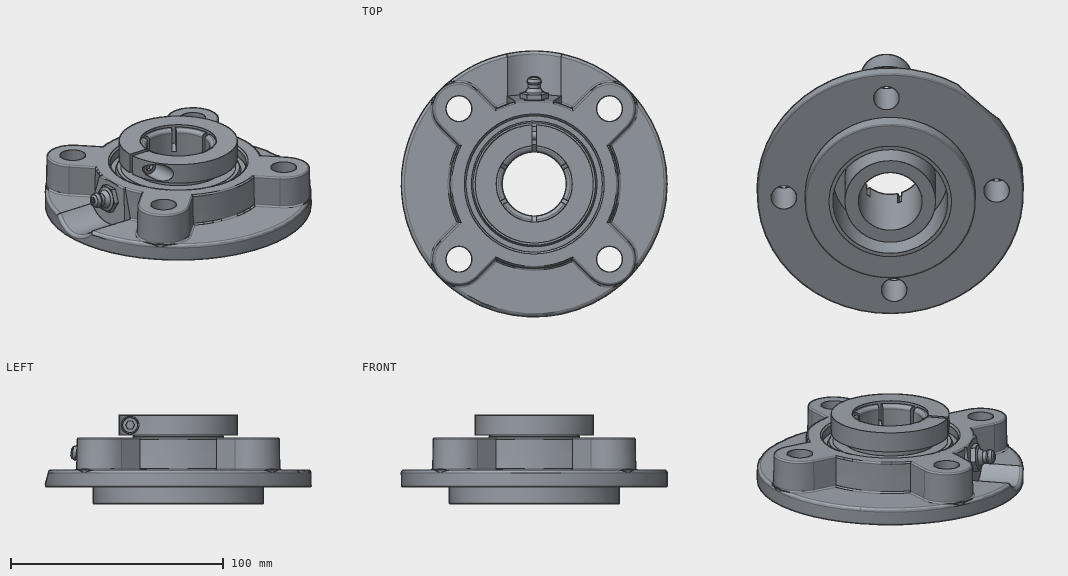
import cadquery as cq
import math

FLANGE_DIA = 125.0
FLANGE_BOTTOM_Z = 8.0
FLANGE_TOP_Z = 16.0
FLANGE_RIM_FILLET = 1.5
SPIGOT_DIA = 80.0
LOWER_EDGE_FILLET = 0.5

BOSS_TOP_Z = 31.0
BOSS_ROOT_Z = 14.2
BOSS_DRAFT = 1.2
BOSS_CORE_RADIUS = 39.5
BOSS_EDGE_FILLET = 0.8
LUG_ANGLES = (45, 135, 225, 315)
LUG_RADIUS = 12.1
BOLT_CIRCLE_RADIUS = 50.0
BOLT_HOLE_DIA = 12.0

TROUGH_RADIUS = 17.8
TROUGH_AXIS_Z = 28.5
FACE_TOP_Y = 39.1
FACE_SLOPE = 8.0
PAD_TOP_WIDTH = 18.8
PAD_FOOT_WIDTH = 25.5

SEAT_SPHERE_DIA = 64.0
OUTER_RING_TOP_Z = 28.0
SEAT_CENTRE_Z = OUTER_RING_TOP_Z / 2
COUNTERBORE_FLOOR_Z = 26.4
COUNTERBORE_CHAMFER = 0.9
OUTER_RING_BORE_DIA = 54.0

SHAFT_BORE_DIA = 30.0
BORE_MOUTH_FILLET = 1.9
SHOULDER_DIA = 42.5
SHOULDER_CHAMFER = 0.6
SLEEVE_DIA = 35.8
SLEEVE_TOP_Z = 40.5

SLOT_COUNT = 6
SLOT_WIDTH = 2.0
SLOT_INNER_Z = 29.2
SLOT_END_RADIUS = 18.5

SEAL_TOP_Z = OUTER_RING_TOP_Z
SEAL_THICKNESS = 2.0

COLLAR_DIA = 55.5
COLLAR_BOTTOM_Z = 32.2
COLLAR_TOP_Z = 41.8
SCREW_Y = 22.6
SCREW_Z = (COLLAR_BOTTOM_Z + COLLAR_TOP_Z) / 2
SCREW_SHANK_DIA = 4.0
SCREW_HEAD_DIA = 7.0
SCREW_HEAD_X = -7.8
SCREW_SEAT_X = -3.8
SCREW_TIP_X = 11.2
SCREW_SOCKET_ACROSS_CORNERS = 4.2
SCREW_SOCKET_DEPTH = 2.0
SCREW_COUNTERBORE_DIA = 8.2

NIPPLE_SEAT_Z = 22.9
NIPPLE_SEAT_Y = FACE_TOP_Y + (BOSS_TOP_Z - NIPPLE_SEAT_Z) * math.tan(math.radians(FACE_SLOPE))
NIPPLE_STEM_DIA = 6.0
NIPPLE_STEM_LENGTH = 5.0
NIPPLE_HEX_ACROSS_FLATS = 11.5
NIPPLE_HEX_HEIGHT = 2.4
NIPPLE_CONE_DIA = 8.8
NIPPLE_CONE_FOOT = 3.0
NIPPLE_CONE_TOP = 5.0
NIPPLE_NECK_DIA = 5.8
NIPPLE_NECK_TOP = 6.8
NIPPLE_HEAD_DIA = 7.0
NIPPLE_HEAD_WIDEST = 7.8
NIPPLE_TIP_SHOULDER_DIA = 5.8
NIPPLE_TIP_SHOULDER = 9.4
NIPPLE_TIP_DIA = 3.2
NIPPLE_TIP = 10.1
NIPPLE_PORT_DIA = 1.5
NIPPLE_PORT_DEPTH = 1.2


def cylinder(diameter, bottom_z, top_z):
    """Upright cylinder on the Z axis."""
    return cq.Workplane("XY").workplane(offset=bottom_z).circle(diameter / 2).extrude(top_z - bottom_z)


def cylinder_along_x(diameter, start_x, end_x, y, z):
    return cq.Workplane("YZ", origin=(start_x, y, z)).circle(diameter / 2).extrude(end_x - start_x)


def cylinder_along_y(diameter, start_y, end_y, z=0):
    return cq.Workplane("XZ", origin=(0, start_y, z)).circle(diameter / 2).extrude(start_y - end_y)


def in_front_of_face():
    """All the space ahead of the slanted face, as wide as the trough cylinder."""
    face_foot_y = FACE_TOP_Y + BOSS_TOP_Z * math.tan(math.radians(FACE_SLOPE))
    return (
        cq.Workplane("YZ", origin=(-TROUGH_RADIUS, 0, 0))
        .polyline([(FACE_TOP_Y, BOSS_TOP_Z), (FLANGE_DIA, BOSS_TOP_Z), (FLANGE_DIA, 0), (face_foot_y, 0)])
        .close()
        .extrude(2 * TROUGH_RADIUS)
    )


def nipple_recess():
    """Round-bottomed trough along Y, ending at the slanted face behind the nipple."""
    trough = cylinder_along_y(2 * TROUGH_RADIUS, 0, FLANGE_DIA, TROUGH_AXIS_Z)
    return trough.intersect(in_front_of_face())


def nipple_pad():
    """Pad on the boss core that narrows upwards and carries the slanted face."""
    return (
        cq.Workplane("XZ")
        .polyline([
            (-PAD_FOOT_WIDTH / 2, FLANGE_TOP_Z),
            (PAD_FOOT_WIDTH / 2, FLANGE_TOP_Z),
            (PAD_TOP_WIDTH / 2, BOSS_TOP_Z),
            (-PAD_TOP_WIDTH / 2, BOSS_TOP_Z),
        ])
        .close()
        .extrude(-BOLT_CIRCLE_RADIUS)
        .cut(in_front_of_face())
        .faces(">Z")
        .edges("not <Y")
        .fillet(BOSS_EDGE_FILLET)
    )


def on_slanted_face(shape):
    """Move a shape built along +Y from the origin to the nipple seat, square to its face."""
    tilted = shape.rotate((0, 0, 0), (1, 0, 0), FACE_SLOPE)
    return tilted.translate((0, NIPPLE_SEAT_Y, NIPPLE_SEAT_Z))


def nipple_stem():
    """Shank of the nipple, which also shapes its hole in the housing."""
    return on_slanted_face(cylinder_along_y(NIPPLE_STEM_DIA, -NIPPLE_STEM_LENGTH, 0))


def flange():
    """Flange disc with its rim rounded, the rounding following the trough."""
    disc = cylinder(FLANGE_DIA, FLANGE_BOTTOM_Z, FLANGE_TOP_Z).cut(nipple_recess())
    rim_arcs = disc.faces(">Z").edges("%CIRCLE")
    rim_in_trough = disc.edges("%BSPLINE")
    disc = rim_arcs.add(rim_in_trough).fillet(FLANGE_RIM_FILLET)
    return disc.faces("<Z").edges().fillet(LOWER_EDGE_FILLET)


def drafted_disc(top_radius):
    """Disc on the Z axis that widens downwards from the boss top to the boss root."""
    return (
        cq.Workplane("XY")
        .workplane(offset=BOSS_TOP_Z)
        .circle(top_radius)
        .extrude(BOSS_ROOT_Z - BOSS_TOP_Z, taper=-BOSS_DRAFT)
    )


def lug(angle):
    """Round-ended arm from the axis out to one bolt hole."""
    arm = (
        cq.Workplane("XY")
        .workplane(offset=BOSS_TOP_Z)
        .center(BOLT_CIRCLE_RADIUS / 2, 0)
        .slot2D(BOLT_CIRCLE_RADIUS + 2 * LUG_RADIUS, 2 * LUG_RADIUS)
        .extrude(BOSS_ROOT_Z - BOSS_TOP_Z, taper=-BOSS_DRAFT)
    )
    return arm.rotate((0, 0, 0), (0, 0, 1), angle)


def boss():
    """Core and four lugs, with a rounded top edge and a flared foot on the flange."""
    body = drafted_disc(BOSS_CORE_RADIUS)
    for angle in LUG_ANGLES:
        body = body.union(lug(angle))
    body = body.faces(">Z").edges().fillet(BOSS_EDGE_FILLET)
    plate = cylinder(2 * FLANGE_DIA, BOSS_ROOT_Z, FLANGE_TOP_Z)
    flared = plate.union(body)
    foot_zone = cq.selectors.BoxSelector(
        (-FLANGE_DIA / 2 - LUG_RADIUS, -FLANGE_DIA / 2 - LUG_RADIUS, FLANGE_TOP_Z - BOSS_EDGE_FILLET),
        (FLANGE_DIA / 2 + LUG_RADIUS, FLANGE_DIA / 2 + LUG_RADIUS, FLANGE_TOP_Z + BOSS_EDGE_FILLET),
        boundingbox=True,
    )
    flared = flared.edges(foot_zone).fillet(BOSS_EDGE_FILLET)
    flared = flared.cut(plate)
    return flared.union(body).intersect(cylinder(FLANGE_DIA, 0, BOSS_TOP_Z))


def bolt_holes():
    """Through holes, one in each lug."""
    hole = cylinder(BOLT_HOLE_DIA, 0, BOSS_TOP_Z).translate((BOLT_CIRCLE_RADIUS, 0, 0))
    holes = cq.Workplane("XY")
    for angle in LUG_ANGLES:
        holes = holes.add(hole.rotate((0, 0, 0), (0, 0, 1), angle))
    return holes.combine()


def outer_ring_ball():
    """Sphere shared by the housing seat and the outside of the outer ring."""
    return cq.Workplane("XY").sphere(SEAT_SPHERE_DIA / 2).translate((0, 0, SEAT_CENTRE_Z))


def bearing_seat():
    """Spherical seat below a counterbore with a chamfered mouth."""
    counterbore = cylinder(SEAT_SPHERE_DIA, COUNTERBORE_FLOOR_Z, BOSS_TOP_Z)
    mouth = (
        cq.Workplane("XY")
        .workplane(offset=BOSS_TOP_Z)
        .circle(SEAT_SPHERE_DIA / 2 + COUNTERBORE_CHAMFER)
        .extrude(-COUNTERBORE_CHAMFER, taper=45)
    )
    return outer_ring_ball().union(counterbore).union(mouth)


def make_housing():
    spigot = cylinder(SPIGOT_DIA, 0, FLANGE_TOP_Z).faces("<Z").edges().fillet(LOWER_EDGE_FILLET)
    body = flange().union(spigot).union(boss().cut(nipple_recess())).union(nipple_pad())
    return body.cut(bolt_holes()).cut(bearing_seat()).cut(nipple_stem())


def make_outer_ring():
    ring = outer_ring_ball().intersect(cylinder(FLANGE_DIA, 0, OUTER_RING_TOP_Z))
    return ring.cut(cylinder(OUTER_RING_BORE_DIA, 0, OUTER_RING_TOP_Z))


def make_seal():
    bottom_z = SEAL_TOP_Z - SEAL_THICKNESS
    return cylinder(OUTER_RING_BORE_DIA, bottom_z, SEAL_TOP_Z).cut(
        cylinder(SHOULDER_DIA, bottom_z, SEAL_TOP_Z))


def sleeve_slot(angle):
    """Radial slot through the sleeve, its floor sloping up from the bore to the shoulder top."""
    slot = (
        cq.Workplane("XZ", origin=(0, SLOT_WIDTH / 2, 0))
        .moveTo(0, SLOT_INNER_Z)
        .lineTo(SHAFT_BORE_DIA / 2, SLOT_INNER_Z)
        .lineTo(SLOT_END_RADIUS, COLLAR_BOTTOM_Z)
        .lineTo(SLOT_END_RADIUS, COLLAR_TOP_Z)
        .lineTo(0, COLLAR_TOP_Z)
        .close()
        .extrude(SLOT_WIDTH)
    )
    return slot.rotate((0, 0, 0), (0, 0, 1), angle)


def make_inner_ring():
    """Shouldered inner ring with a slotted clamping sleeve."""
    shoulder = cylinder(SHOULDER_DIA, 0, COLLAR_BOTTOM_Z).faces(">Z").edges().chamfer(SHOULDER_CHAMFER)
    ring = shoulder.union(cylinder(SLEEVE_DIA, 0, SLEEVE_TOP_Z))
    ring = ring.cut(cylinder(SHAFT_BORE_DIA, 0, SLEEVE_TOP_Z))
    bore_mouth = ring.faces(">Z").edges(cq.selectors.RadiusNthSelector(0))
    ring = bore_mouth.fillet(BORE_MOUTH_FILLET)
    for index in range(SLOT_COUNT):
        ring = ring.cut(sleeve_slot(90 + index * 360 / SLOT_COUNT))
    return ring


def screw_shank():
    """Shank of the clamp screw, which also shapes its hole in the collar."""
    return cylinder_along_x(SCREW_SHANK_DIA, SCREW_SEAT_X, SCREW_TIP_X, SCREW_Y, SCREW_Z)


def make_collar():
    """Split clamp collar with a counterbored screw hole across the split."""
    height = COLLAR_TOP_Z - COLLAR_BOTTOM_Z
    collar = cylinder(COLLAR_DIA, COLLAR_BOTTOM_Z, COLLAR_TOP_Z)
    collar = collar.cut(cylinder(SLEEVE_DIA, COLLAR_BOTTOM_Z, COLLAR_TOP_Z))
    split = cq.Workplane("XY").box(SLOT_WIDTH, COLLAR_DIA, height, centered=(True, False, False))
    collar = collar.cut(split.translate((0, 0, COLLAR_BOTTOM_Z)))
    screw_counterbore = cylinder_along_x(
        SCREW_COUNTERBORE_DIA, -COLLAR_DIA, SCREW_SEAT_X, SCREW_Y, SCREW_Z)
    collar = collar.cut(screw_counterbore)
    return collar.cut(screw_shank())


def make_screw():
    """Clamp screw with a hexagon socket."""
    head = cylinder_along_x(SCREW_HEAD_DIA, SCREW_HEAD_X, SCREW_SEAT_X, SCREW_Y, SCREW_Z)
    socket = (
        cq.Workplane("YZ", origin=(SCREW_HEAD_X, SCREW_Y, SCREW_Z))
        .polygon(6, SCREW_SOCKET_ACROSS_CORNERS)
        .extrude(SCREW_SOCKET_DEPTH)
    )
    return head.union(screw_shank()).cut(socket)


def make_nipple():
    """Stem, hexagon and coned head with a greasing port in its tip."""
    hexagon = (
        cq.Workplane("XZ")
        .polygon(6, NIPPLE_HEX_ACROSS_FLATS / math.cos(math.radians(30)))
        .extrude(-NIPPLE_HEX_HEIGHT)
    )
    head = (
        cq.Workplane("XY")
        .moveTo(0, NIPPLE_HEX_HEIGHT)
        .lineTo(NIPPLE_HEX_ACROSS_FLATS / 2, NIPPLE_HEX_HEIGHT)
        .lineTo(NIPPLE_CONE_DIA / 2, NIPPLE_CONE_FOOT)
        .lineTo(NIPPLE_NECK_DIA / 2, NIPPLE_CONE_TOP)
        .lineTo(NIPPLE_NECK_DIA / 2, NIPPLE_NECK_TOP)
        .lineTo(NIPPLE_HEAD_DIA / 2, NIPPLE_HEAD_WIDEST)
        .lineTo(NIPPLE_TIP_SHOULDER_DIA / 2, NIPPLE_TIP_SHOULDER)
        .lineTo(NIPPLE_TIP_DIA / 2, NIPPLE_TIP)
        .lineTo(0, NIPPLE_TIP)
        .close()
        .revolve(360, (0, 0, 0), (0, 1, 0))
    )
    port = cylinder_along_y(NIPPLE_PORT_DIA, NIPPLE_TIP - NIPPLE_PORT_DEPTH, NIPPLE_TIP)
    return on_slanted_face(hexagon.union(head).cut(port)).union(nipple_stem())


housing = make_housing()
outer_ring = make_outer_ring()
seal = make_seal()
inner_ring = make_inner_ring()
collar = make_collar()
screw = make_screw()
nipple = make_nipple()

result = cq.Compound.makeCompound([
    housing.val(),
    outer_ring.val(),
    seal.val(),
    inner_ring.val(),
    collar.val(),
    screw.val(),
    nipple.val(),
])